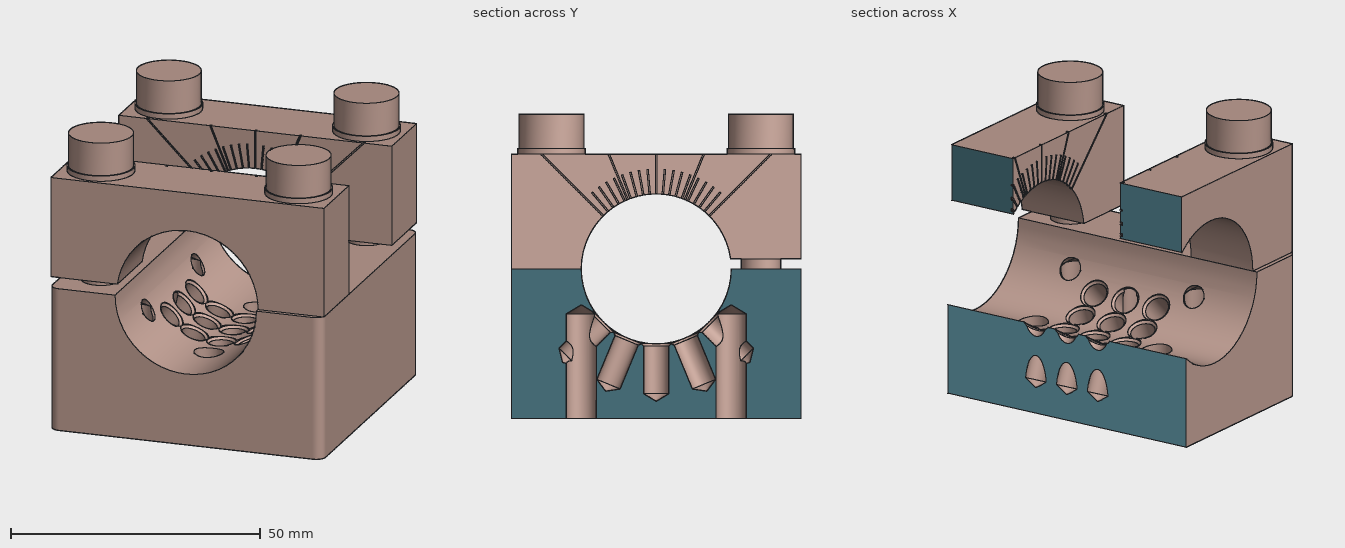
import cadquery as cq
import math

base_side = 58.0
total_height = 61.0

base_height = 30.0
corner_radius = 2.0
bore_radius = 15.0

cap_height = 23.0
cap_depth = 15.0
cap_inner_y = 13.0
cap_gap = 2.0
cap_top = base_height + cap_height
cap_center_y = cap_inner_y + cap_depth / 2

screw_x = 21.0
screw_y = cap_center_y
shank_diameter = 8.0
shank_depth_in_base = 12.2
head_diameter = 13.05
flange_diameter = 13.6
flange_height = 1.1
head_height = total_height - cap_top

angle_step = 22.5
radial_angles = [step * angle_step for step in range(-2, 3)]
radial_pitch_y = 7.5
radial_diameter = 5.0
radial_mouth_diameter = 6.0
radial_depth = 10.0

underside_pitch = 15.0
underside_diameter = 6.0
underside_side_depth = 21.0
underside_corner_depth = 22.6
drill_point_angle = 118.0

link_angle = 60.0
link_diameter = 4.75
link_end_radius = underside_pitch / math.sin(math.radians(link_angle))

short_tick_step = 5.0
short_ticks_per_side = 8
short_tick_radius = 20.0
long_tick_radius = 2 * cap_height
tick_width = 0.3
tick_depth = 0.5


def drill_point_height(diameter):
    """Height of the cone that a drill leaves at the end of a blind hole."""
    return diameter / 2 / math.tan(math.radians(drill_point_angle / 2))


def bore_cutter():
    """Cylinder of the bore, lying along Y in the plane of the base's top face."""
    return (
        cq.Workplane("XZ", origin=(0, base_side, base_height))
        .circle(bore_radius)
        .extrude(2 * base_side)
    )


def shank(x, y):
    """Cylinder of a screw below its head, which is also the hole that it fills."""
    bottom = base_height - shank_depth_in_base
    return (
        cq.Workplane("XY", origin=(x, y, bottom))
        .circle(shank_diameter / 2)
        .extrude(cap_top - bottom)
    )


def radial_hole(angle, y):
    """Blind drilled hole leaving the bore at an angle from straight down, widened at its mouth."""
    radius = radial_diameter / 2
    mouth_radius = radial_mouth_diameter / 2
    chamfer_end = bore_radius + mouth_radius - radius
    floor = bore_radius + radial_depth
    tip = floor + drill_point_height(radial_diameter)
    profile = [
        (0, 0),
        (mouth_radius, 0),
        (mouth_radius, -bore_radius),
        (radius, -chamfer_end),
        (radius, -floor),
        (0, -tip),
    ]
    return (
        cq.Workplane("XZ")
        .polyline(profile)
        .close()
        .revolve(360, (0, 0, 0), (0, 1, 0))
        .rotate((0, 0, 0), (0, 1, 0), angle)
        .translate((0, y, base_height))
    )


def underside_hole(x, y, depth):
    """Blind drilled hole going up from the underside of the base."""
    radius = underside_diameter / 2
    tip = depth + drill_point_height(underside_diameter)
    profile = [(0, 0), (radius, 0), (radius, depth), (0, tip)]
    return (
        cq.Workplane("XZ")
        .polyline(profile)
        .close()
        .revolve(360, (0, 0, 0), (0, 1, 0))
        .translate((x, y, 0))
    )


def link_hole(side, y):
    """Hole from the bore, at an angle from straight down, to the axis of a corner underside hole."""
    return (
        cq.Workplane("XY")
        .circle(link_diameter / 2)
        .extrude(-link_end_radius)
        .rotate((0, 0, 0), (0, 1, 0), -side * link_angle)
        .translate((0, y, base_height))
    )


def make_base():
    base = cq.Workplane("XY").rect(base_side, base_side).extrude(base_height)
    base = base.edges("|Z").fillet(corner_radius)
    base = base.cut(bore_cutter())
    for angle in radial_angles:
        for row in (-1, 0, 1):
            base = base.cut(radial_hole(angle, row * radial_pitch_y))
    for end in (-1, 1):
        middle_of_side = end * underside_pitch
        base = base.cut(underside_hole(middle_of_side, 0, underside_side_depth))
        base = base.cut(underside_hole(0, middle_of_side, underside_side_depth))
    for side in (-1, 1):
        for end in (-1, 1):
            x = side * underside_pitch
            y = end * underside_pitch
            base = base.cut(underside_hole(x, y, underside_corner_depth))
            base = base.cut(link_hole(side, y))
    for x in (-screw_x, screw_x):
        for y in (-screw_y, screw_y):
            base = base.cut(shank(x, y))
    return base


def engraved_tick(angle, end_radius):
    """Groove in the inner face of the front cap, radial to the bore at an angle from straight up."""
    return (
        cq.Workplane("XY")
        .box(tick_width, 2 * tick_depth, end_radius, centered=(True, True, False))
        .rotate((0, 0, 0), (0, 1, 0), angle)
        .translate((0, -cap_inner_y, base_height))
    )


def make_front_cap():
    """Cap on the -Y side, resting on the base at +X and gapped from it at -X."""
    cap = (
        cq.Workplane("XY", origin=(0, -cap_center_y, base_height))
        .rect(base_side, cap_depth)
        .extrude(cap_height)
    )
    gap = (
        cq.Workplane("XY", origin=(-base_side / 4, -cap_center_y, base_height))
        .rect(base_side / 2, cap_depth)
        .extrude(cap_gap)
    )
    cap = cap.cut(bore_cutter()).cut(gap)
    for step in range(-short_ticks_per_side, short_ticks_per_side + 1):
        cap = cap.cut(engraved_tick(step * short_tick_step, short_tick_radius))
    for angle in radial_angles:
        cap = cap.cut(engraved_tick(angle, long_tick_radius))
    for x in (-screw_x, screw_x):
        cap = cap.cut(shank(x, -screw_y))
    return cap


def make_back_cap():
    """The same cap, turned half round about the base's vertical axis."""
    return make_front_cap().rotate((0, 0, 0), (0, 0, 1), 180)


def make_screw(x, y):
    flange = (
        cq.Workplane("XY", origin=(x, y, cap_top))
        .circle(flange_diameter / 2)
        .extrude(flange_height)
    )
    head = (
        cq.Workplane("XY", origin=(x, y, cap_top))
        .circle(head_diameter / 2)
        .extrude(head_height)
    )
    return shank(x, y).union(flange).union(head)


base = make_base()
front_cap = make_front_cap()
back_cap = make_back_cap()
screws = [make_screw(x, y) for x in (-screw_x, screw_x) for y in (-screw_y, screw_y)]

result = cq.Compound.makeCompound(
    [base.val(), front_cap.val(), back_cap.val(), *[screw.val() for screw in screws]]
)